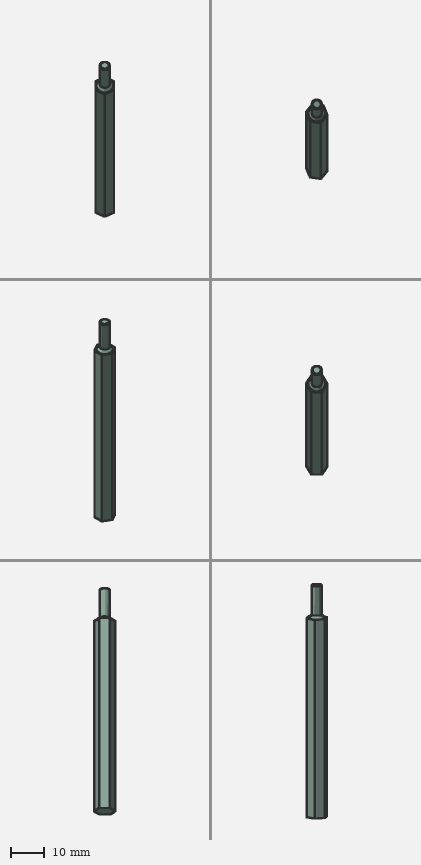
import cadquery as cq
import math

total_length = 70.0
stud_length = 10.0
body_length = total_length - stud_length

across_flats = 5.5
corner_diameter = 6.3

stud_diameter = 3.0
shoulder_height = 1.0
shoulder_diameter = stud_diameter + 2 * shoulder_height
tip_chamfer = 0.3


def make_body():
    sharp_corner_diameter = across_flats / math.cos(math.pi / 6)
    hexagon = cq.Workplane("XY").polygon(6, sharp_corner_diameter).extrude(body_length)
    turned_bar = cq.Workplane("XY").circle(corner_diameter / 2).extrude(body_length)
    return hexagon.intersect(turned_bar)


def make_stud():
    """Revolve the shoulder, shank and chamfered tip about the Z axis."""
    stud_radius = stud_diameter / 2
    half_profile = [
        (0, body_length),
        (shoulder_diameter / 2, body_length),
        (stud_radius, body_length + shoulder_height),
        (stud_radius, total_length - tip_chamfer),
        (stud_radius - tip_chamfer, total_length),
        (0, total_length),
    ]
    return cq.Workplane("XZ").polyline(half_profile).close().revolve(360, (0, 0), (0, 1))


result = make_body().union(make_stud())